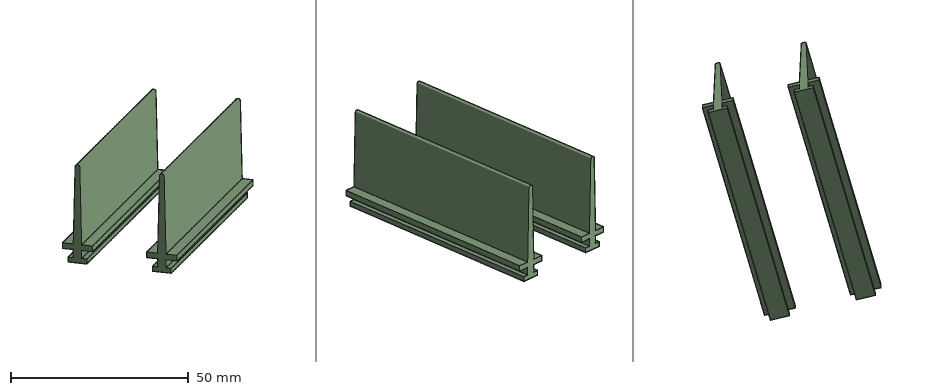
import cadquery as cq

rail_length = 68.0
rail_spacing = 25.0
rail_height = 29.3

foot_width = 5.6
foot_thickness = 1.5

neck_width = 2.5
neck_height = 2.4

flange_width = 9.0
flange_thickness = 1.7

tip_width = 1.4
tip_rise = 0.7

flange_bottom = foot_thickness + neck_height
flange_top = flange_bottom + flange_thickness
shoulder = rail_height - tip_rise


def make_bar(width, bottom, top):
    """Rectangular bar along the rail, centred on X and Y."""
    return (
        cq.Workplane("XY")
        .workplane(offset=bottom)
        .rect(width, rail_length)
        .extrude(top - bottom)
    )


def make_blade():
    """Tapered blade whose top is one arc across its full width."""
    return (
        cq.Workplane("XZ")
        .moveTo(-neck_width / 2, flange_top)
        .lineTo(neck_width / 2, flange_top)
        .lineTo(tip_width / 2, shoulder)
        .threePointArc((0, rail_height), (-tip_width / 2, shoulder))
        .close()
        .extrude(rail_length / 2, both=True)
    )


def make_rail(center_x):
    """One complete rail, standing on Z = 0."""
    foot = make_bar(foot_width, 0, foot_thickness)
    neck = make_bar(neck_width, foot_thickness, flange_bottom)
    flange = make_bar(flange_width, flange_bottom, flange_top)
    rail = foot.union(neck).union(flange).union(make_blade())
    return rail.translate((center_x, 0, 0))


rails = [make_rail(side * rail_spacing / 2) for side in (-1, 1)]

result = cq.Compound.makeCompound([rail.solids().val() for rail in rails])